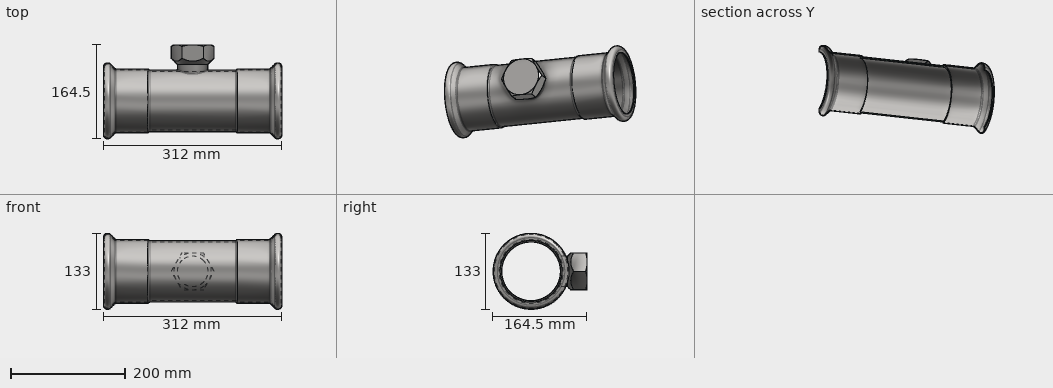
import cadquery as cq
import math

length = 312.0
half_length = length / 2

pipe_radius = 108.0 / 2
pipe_bore_radius = 51.2

socket_radius = 112.0 / 2
socket_bore_radius = pipe_radius
wall = socket_radius - socket_bore_radius
socket_end = 77.5
neck_down_length = 3.7

bead_outer_radius = 66.5
bead_round = 7.5
bead_center_radius = bead_outer_radius - bead_round
bead_root_round = 2.2

branch_top = 98.0
branch_neck_radius = 53.5 / 2
branch_base_fillet = 1.2
nut_across_corners = 75.0
nut_corner_radius = nut_across_corners / 2
nut_top_flat_radius = 32.5
nut_top_chamfer = (nut_corner_radius - nut_top_flat_radius) * math.tan(math.radians(30))
nut_cone_start = 23.7
nut_height = nut_cone_start + nut_corner_radius - branch_neck_radius


def point_on_arc(center, radius, degrees):
    angle = math.radians(degrees)
    return (center[0] + radius * math.cos(angle), center[1] + radius * math.sin(angle))


bead_center = (bead_round, bead_center_radius)
root_center_radius = socket_radius + bead_root_round
root_center_x = (
    bead_round + bead_center_radius - root_center_radius
    + (bead_round + bead_root_round) * math.sqrt(2)
)
root_center = (root_center_x, root_center_radius)


def bead_profile(offset):
    """Start a half profile at the mouth, following the bead at a depth below its outer skin."""
    bead = bead_round - offset
    root = bead_root_round + offset
    return (
        cq.Workplane("XY")
        .moveTo(offset, 0)
        .lineTo(offset, bead_center_radius)
        .threePointArc(point_on_arc(bead_center, bead, 112.5), point_on_arc(bead_center, bead, 45))
        .lineTo(*point_on_arc(root_center, root, 225))
        .threePointArc(
            point_on_arc(root_center, root, 247.5),
            (root_center_x, socket_radius - offset),
        )
    )


def revolve_about_pipe_axis(profile):
    return profile.close().revolve(360, (0, 0, 0), (1, 0, 0))


def socket_body():
    pipe_start = socket_end + neck_down_length
    middle = (socket_end + neck_down_length / 2, (socket_radius + pipe_radius) / 2)
    profile = (
        bead_profile(0)
        .lineTo(socket_end, socket_radius)
        .tangentArcPoint(middle, relative=False)
        .tangentArcPoint((pipe_start, pipe_radius), relative=False)
        .lineTo(half_length, pipe_radius)
        .lineTo(half_length, 0)
    )
    return revolve_about_pipe_axis(profile)


def socket_cavity():
    groove = bead_profile(wall).lineTo(socket_end, socket_bore_radius).lineTo(socket_end, 0)
    mouth = cq.Workplane("YZ").circle(socket_bore_radius).extrude(socket_end)
    return revolve_about_pipe_axis(groove).union(mouth)


def both_ends(half):
    return half.union(half.mirror("YZ", (half_length, 0, 0)))


def branch_plane():
    """Plane at the pipe axis, facing +Y, with its own X along the pipe."""
    return cq.Workplane(cq.Plane((half_length, 0, 0), (1, 0, 0), (0, 1, 0)))


def hex_nut():
    nut_bottom = branch_top - nut_height
    hexagon = (
        branch_plane()
        .workplane(offset=nut_bottom)
        .polygon(6, nut_across_corners)
        .extrude(nut_height)
    )
    envelope = (
        cq.Workplane("XY", origin=(half_length, 0, 0))
        .moveTo(0, nut_bottom)
        .lineTo(branch_neck_radius, nut_bottom)
        .lineTo(nut_corner_radius, branch_top - nut_cone_start)
        .lineTo(nut_corner_radius, branch_top - nut_top_chamfer)
        .lineTo(nut_top_flat_radius, branch_top)
        .lineTo(0, branch_top)
        .close()
        .revolve(360, (0, 0, 0), (0, 1, 0))
    )
    return hexagon.intersect(envelope)


def body_with_branch():
    neck = branch_plane().circle(branch_neck_radius).extrude(branch_top - nut_height)
    body = both_ends(socket_body()).union(neck)
    reach = branch_neck_radius + 3
    junction = cq.selectors.BoxSelector(
        (half_length - reach, pipe_radius / 2, -reach),
        (half_length + reach, pipe_radius + 3, reach),
        boundingbox=True,
    )
    return body.edges(junction).fillet(branch_base_fillet).union(hex_nut())


pipe_bore = cq.Workplane("YZ").circle(pipe_bore_radius).extrude(length)
fitting = body_with_branch().cut(pipe_bore).cut(both_ends(socket_cavity()))
result = fitting.translate((-half_length, 0, 0))